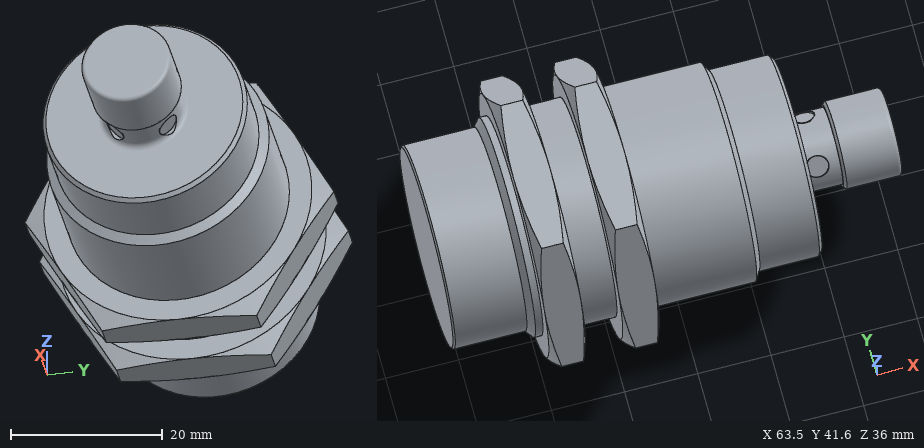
import cadquery as cq
import math

total_length = 63.5

cap_diameter = 27.8
cap_length = 10.05
cap_chamfer = 0.25

barrel_diameter = 30.0
barrel_end = 41.9
barrel_front_chamfer_length = 0.9
barrel_rear_chamfer_length = 0.75

rear_diameter = 27.5
rear_end = 50.55
rear_chamfer = 0.5

neck_diameter = 10.55
neck_fillet = 0.95

plug_diameter = 12.0
plug_start = 55.5
plug_front_chamfer = 0.4
plug_rear_fillet = 0.6

nut_across_flats = 36.0
nut_thickness = 5.0
nut_chamfer_depth = 1.0
nut_starts = (11.95, 22.05)

window_diameter = 3.1
window_center = 52.45
window_floor_radius = 4.95
window_angles = (45, 135, 225, 315)


def cylinder(diameter, start, end):
    """Solid cylinder on the X axis between two positions."""
    return cq.Workplane("YZ", origin=(start, 0, 0)).circle(diameter / 2).extrude(end - start)


def make_barrel():
    """Barrel whose end chamfers run down to the diameters of the cap and the rear section."""
    barrel_radius = barrel_diameter / 2
    return (
        cq.Workplane("XY")
        .polyline([
            (cap_length, 0),
            (cap_length, cap_diameter / 2),
            (cap_length + barrel_front_chamfer_length, barrel_radius),
            (barrel_end - barrel_rear_chamfer_length, barrel_radius),
            (barrel_end, rear_diameter / 2),
            (barrel_end, 0),
        ])
        .close()
        .revolve(360, (0, 0, 0), (1, 0, 0))
    )


def make_nut(start):
    """Hexagon nut blank with corners on Y and conical chamfers on both faces."""
    end = start + nut_thickness
    corner_diameter = nut_across_flats / math.cos(math.pi / 6)
    hexagon = (
        cq.Workplane("YZ", origin=(start, 0, 0))
        .polygon(6, corner_diameter)
        .extrude(nut_thickness)
    )
    face_radius = nut_across_flats / 2
    corner_radius = corner_diameter / 2
    chamfer_envelope = (
        cq.Workplane("XY")
        .polyline([
            (start, 0),
            (start, face_radius),
            (start + nut_chamfer_depth, corner_radius),
            (end - nut_chamfer_depth, corner_radius),
            (end, face_radius),
            (end, 0),
        ])
        .close()
        .revolve(360, (0, 0, 0), (1, 0, 0))
    )
    return hexagon.intersect(chamfer_envelope)


def make_neck():
    """Neck that flares out with a concave fillet where it meets the rear section."""
    neck_radius = neck_diameter / 2
    arc_offset = neck_fillet * (1 - math.sqrt(0.5))
    return (
        cq.Workplane("XY")
        .moveTo(rear_end, 0)
        .lineTo(rear_end, neck_radius + neck_fillet)
        .threePointArc(
            (rear_end + arc_offset, neck_radius + arc_offset),
            (rear_end + neck_fillet, neck_radius),
        )
        .lineTo(plug_start, neck_radius)
        .lineTo(plug_start, 0)
        .close()
        .revolve(360, (0, 0, 0), (1, 0, 0))
    )


def make_window_pocket(angle):
    """Cutter for a shallow, flat-floored round window recess in the side of the neck."""
    neck_flare_radius = neck_diameter / 2 + neck_fillet
    return (
        cq.Workplane("XY", origin=(window_center, 0, window_floor_radius))
        .circle(window_diameter / 2)
        .extrude(neck_flare_radius - window_floor_radius)
        .rotate((0, 0, 0), (1, 0, 0), angle)
    )


cap = cylinder(cap_diameter, 0, cap_length).faces("<X").chamfer(cap_chamfer)
barrel = make_barrel()
rear = cylinder(rear_diameter, barrel_end, rear_end).faces(">X").chamfer(rear_chamfer)
plug = (
    cylinder(plug_diameter, plug_start, total_length)
    .faces("<X").chamfer(plug_front_chamfer)
    .faces(">X").edges().fillet(plug_rear_fillet)
)

result = cap.union(barrel).union(rear).union(make_neck()).union(plug)
for nut_start in nut_starts:
    result = result.union(make_nut(nut_start))
for window_angle in window_angles:
    result = result.cut(make_window_pocket(window_angle))